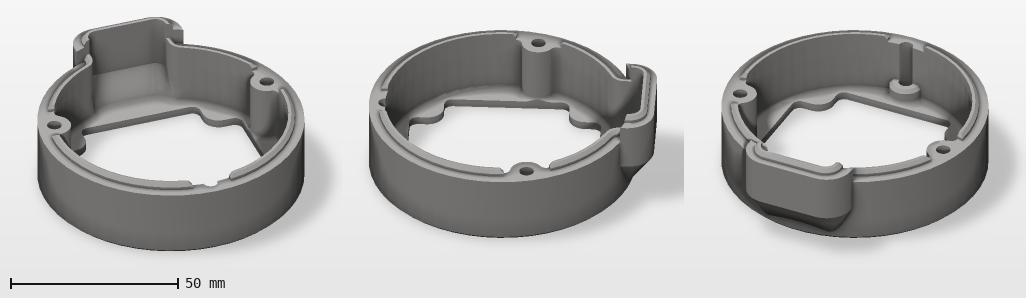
import cadquery as cq
import math

overall_length = 85.95
overall_height = 28.0
ring_diameter = 80.0
ring_height = 21.0
bottom_chamfer = 1.0

floor_top = 3.0
underside_recess = 0.5
cavity_radius = 35.15
floor_fillet = 1.5

lip_height = 2.0
lip_width = 2.0
lip_chamfer = 1.0

box_width = 33.95
box_corner_radius = 8.0
box_end_wall = 4.0
box_cavity_width = 24.4
box_cavity_corner_radius = 3.3
box_slope_start = 12.0
outer_foot_height = 2.2
outer_foot_length = 38.6
outer_foot_width = 24.9
outer_foot_corner_radius = 3.0
inner_foot_length = 36.9
inner_foot_corner_radius = 5.4
box_blend_radius = 4.5

hole_diameter = 4.4
boss_diameter = 10.0
hole_circle_radius = 35.0
tall_boss_angles = (105, -105)
short_boss_angle = 0
short_boss_height = 8.0
short_boss_chamfer = 1.0
boss_blend_radius = 2.0
tall_boss_lip_gap = 14.1
short_boss_lip_gap = 12.0

window_width = 57.4
window_arm_width = 37.6
window_corner_radius = 2.5
lobe_radius = 5.0

ring_radius = ring_diameter / 2
box_end = ring_radius - overall_length
box_top = overall_height - lip_height
boss_radius = boss_diameter / 2

overlap = 0.9


def cylinder(radius, bottom, top):
    return cq.Workplane("XY").workplane(offset=bottom).circle(radius).extrude(top - bottom)


def box_prism(length, width, corner_radius, bottom, top):
    """Block from the ring axis towards -X, with its two far corners rounded."""
    return (
        cq.Workplane("XY", origin=(-length / 2, 0, bottom))
        .rect(length, width)
        .extrude(top - bottom)
        .edges("|Z and <X")
        .fillet(corner_radius)
    )


def slope_between(foot, prism):
    """Slanted block from the top outline of the foot up to the bottom outline of the prism."""
    foot_outline = foot.faces(">Z").wires().val()
    prism_outline = prism.faces("<Z").wires().val()
    return cq.Workplane(cq.Solid.makeLoft([foot_outline, prism_outline], True))


def box_inside(growth, bottom, top):
    """Hollow of the box, with sides moved outwards by growth."""
    length = -box_end - box_end_wall + growth
    width = box_cavity_width + 2 * growth
    return box_prism(length, width, box_cavity_corner_radius + growth, bottom, top)


def blend_box_corners(cavity, growth):
    """Round the upright edges where the box hollow meets the round cavity."""
    half_width = box_cavity_width / 2 + growth
    corner_x = -math.sqrt((cavity_radius + growth) ** 2 - half_width**2)
    for side in (-1, 1):
        corner = cq.selectors.NearestToPointSelector((corner_x, side * half_width, box_slope_start))
        cavity = cavity.edges("|Z").edges(corner).fillet(box_blend_radius - growth)
    return cavity


def cavity_prism(growth, bottom, top):
    """Outline of ring and box hollows together, with sides moved outwards by growth."""
    cavity = cylinder(cavity_radius + growth, bottom, top).union(box_inside(growth, bottom, top))
    return blend_box_corners(cavity, growth)


def at_boss(shape, angle):
    """Move a shape from the ring axis to the boss at the given angle."""
    return shape.translate((hole_circle_radius, 0, 0)).rotate((0, 0, 0), (0, 0, 1), angle)


def blend_boss(cavity, angle):
    """Round the two edges where a tall boss leaves the ring wall."""
    squares = hole_circle_radius**2 + cavity_radius**2 - boss_radius**2
    spread = math.acos(squares / (2 * hole_circle_radius * cavity_radius))
    for side in (-1, 1):
        turn = math.radians(angle) + side * spread
        place = (cavity_radius * math.cos(turn), cavity_radius * math.sin(turn), ring_height / 2)
        corner = cq.selectors.NearestToPointSelector(place)
        cavity = cavity.edges("|Z").edges(corner).fillet(boss_blend_radius)
    return cavity


def main_cavity():
    """Hollow above the floor, with the tall bosses left standing and a rounded floor edge."""
    cavity = cylinder(cavity_radius, floor_top, ring_height)
    boss = cylinder(boss_radius, floor_top, ring_height)
    for angle in tall_boss_angles:
        cavity = blend_boss(cavity.cut(at_boss(boss, angle)), angle)
    straight = box_inside(0, box_slope_start, ring_height)
    foot = box_prism(inner_foot_length, box_cavity_width, inner_foot_corner_radius, 0, floor_top)
    slope = slope_between(foot, straight)
    cavity = blend_box_corners(cavity.union(straight).union(slope), 0)
    return cavity.faces("<Z").edges().fillet(floor_fillet)


def ring_lip():
    """Lip on the ring, broken at each boss, still solid inside."""
    rim = cavity_prism(lip_width, ring_height, ring_height + lip_height)
    gaps = [(angle, tall_boss_lip_gap) for angle in tall_boss_angles]
    gaps.append((short_boss_angle, short_boss_lip_gap))
    for angle, width in gaps:
        gap = cq.Workplane("XY").box(boss_diameter * 2, width, overall_height * 2)
        rim = rim.cut(at_boss(gap, angle))
    return rim.faces(">Z").edges().chamfer(lip_chamfer)


def box_lip():
    """Lip on top of the box, still solid inside."""
    block = box_inside(lip_width, box_top, overall_height)
    return block.edges(">Z and (not >X)").chamfer(lip_chamfer)


def short_boss():
    """Low boss beside the ring wall, chamfered on top and rounded into the floor."""
    foot_mid = floor_fillet * (1 - math.sqrt(0.5))
    profile = (
        cq.Workplane("XZ")
        .lineTo(boss_radius + floor_fillet, 0)
        .lineTo(boss_radius + floor_fillet, floor_top)
        .threePointArc(
            (boss_radius + foot_mid, floor_top + foot_mid),
            (boss_radius, floor_top + floor_fillet),
        )
        .lineTo(boss_radius, short_boss_height - short_boss_chamfer)
        .lineTo(boss_radius - short_boss_chamfer, short_boss_height)
        .lineTo(0, short_boss_height)
        .close()
    )
    boss = at_boss(profile.revolve(360, (0, 0, 0), (0, 1, 0)), short_boss_angle)
    return boss.intersect(cylinder(cavity_radius + overlap, bottom_chamfer, short_boss_height))


def window():
    """Cross-shaped opening whose inner corners leave rounded lobes on the floor."""
    half_width = window_width / 2
    half_arm = window_arm_width / 2
    depth = floor_top + floor_fillet
    arm_x = cq.Workplane("XY").rect(window_width, window_arm_width).extrude(depth)
    arm_y = cq.Workplane("XY").rect(window_arm_width, window_width).extrude(depth)
    corners = [(x * half_arm, y * half_arm) for x in (-1, 1) for y in (-1, 1)]
    cross = arm_x.union(arm_y)
    for x, y in corners:
        lobe = cq.selectors.NearestToPointSelector((x, y, depth / 2))
        cross = cross.edges("|Z").edges(lobe).fillet(lobe_radius)
    for x, y in corners:
        for place in ((math.copysign(half_width, x), y), (x, math.copysign(half_width, y))):
            corner = cq.selectors.NearestToPointSelector((*place, depth / 2))
            cross = cross.edges("|Z").edges(corner).fillet(window_corner_radius)
    return cross


box = box_prism(-box_end, box_width, box_corner_radius, box_slope_start, box_top)
foot = box_prism(outer_foot_length, outer_foot_width, outer_foot_corner_radius, 0, outer_foot_height)
box = box.union(slope_between(foot, box)).union(box_lip())
box = box.cut(cylinder(ring_radius, ring_height, overall_height + overlap))
ring = cylinder(ring_radius, 0, ring_height).faces("<Z").chamfer(bottom_chamfer)
result = ring.union(box).union(ring_lip())

result = result.cut(cavity_prism(0, ring_height, overall_height + overlap))
result = result.cut(main_cavity())
result = result.cut(cylinder(cavity_radius, 0, underside_recess))
result = result.union(short_boss())
result = result.cut(window())
hole = cylinder(hole_diameter / 2, -overlap, overall_height)
for angle in (short_boss_angle, *tall_boss_angles):
    result = result.cut(at_boss(hole, angle))